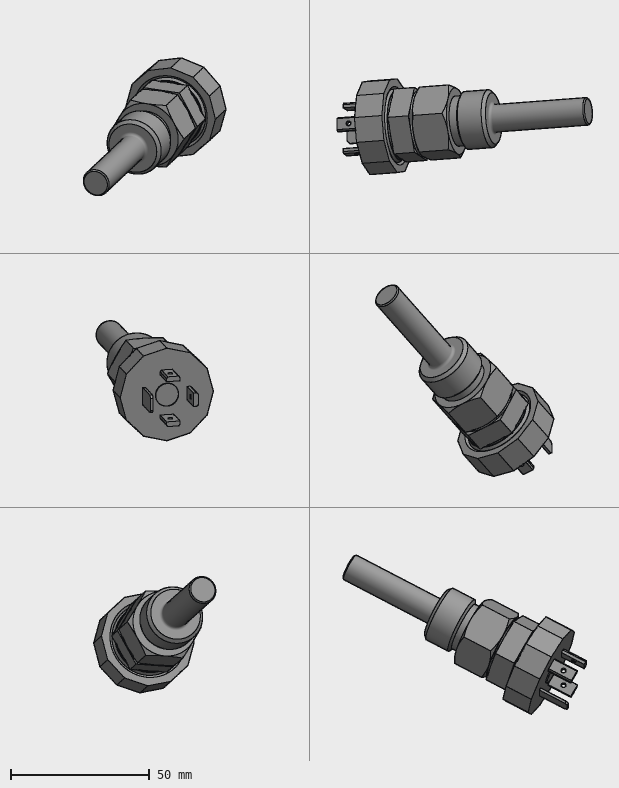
import cadquery as cq
import math

total_length = 94.5

collar_front = 36.0
collar_back = 47.1
nut_front = 49.9
nut_back = 63.0
body_hex_front = 63.8
body_hex_back = 71.6
flange_front = 72.7
flange_back = 83.1

probe_radius = 5.0
tip_chamfer = 0.5
probe_fillet = 1.0

collar_radius = 10.5
collar_chamfer = 1.2
undercut_radius = 9.1
thread_end_angle = 30.0

hex_flats = 24.0
hex_corners = hex_flats / math.cos(math.radians(30))
nut_chamfer_angle = 30.0
nut_neck_radius = 11.3

flange_sides = 12
flange_corners = 34.7
groove_outer_radius = 14.2
groove_bottom_radius = 13.2
groove_depth = 0.8
seal_radius = 12.5
seal_length = 0.4
neck_radius = 12.2

terminal_offset = 8.4
blade_thickness = 1.8
blade_width = 5.0
blade_tip = 92.4
blade_bevel_depth = 0.7
blade_bevel_width = 0.5
blade_hole_diameter = 1.7
blade_hole_position = 88.1
earth_thickness = 0.9
earth_offset = 8.5
earth_width = 6.5
earth_corner = 0.9
disc_radius = 4.25
disc_height = 0.5
embed = 0.9


def turned(points):
    """Revolve a (radius, station) outline, closed along the axis, about Y."""
    return cq.Workplane("XY").polyline(points).close().revolve(360, (0, 0, 0), (0, 1, 0))


def prism(sides, across_corners, start, end):
    """Regular prism along Y with corners on the X axis."""
    plane = cq.Plane(origin=(0, start, 0), xDir=(1, 0, 0), normal=(0, 1, 0))
    return cq.Workplane(plane).polygon(sides, across_corners).extrude(end - start)


def make_probe_and_collar():
    """Probe rod, chamfered collar and undercut up to the nut, turned in one outline."""
    fillet_start = collar_front - probe_fillet
    fillet_mid_offset = probe_fillet * (1 - math.sqrt(0.5))
    thread_end = (collar_radius - undercut_radius) * math.tan(math.radians(thread_end_angle))
    return (
        cq.Workplane("XY")
        .lineTo(probe_radius - tip_chamfer, 0)
        .lineTo(probe_radius, tip_chamfer)
        .lineTo(probe_radius, fillet_start)
        .threePointArc(
            (probe_radius + fillet_mid_offset, collar_front - fillet_mid_offset),
            (probe_radius + probe_fillet, collar_front),
        )
        .lineTo(collar_radius - collar_chamfer, collar_front)
        .lineTo(collar_radius, collar_front + collar_chamfer)
        .lineTo(collar_radius, collar_back - thread_end)
        .lineTo(undercut_radius, collar_back)
        .lineTo(undercut_radius, nut_front)
        .lineTo(0, nut_front)
        .close()
        .revolve(360, (0, 0, 0), (0, 1, 0))
    )


def make_nut():
    """Hexagon nut with both ends coned down to the flats."""
    flat_radius = hex_flats / 2
    corner_radius = hex_corners / 2
    drop = (corner_radius - flat_radius) * math.tan(math.radians(nut_chamfer_angle))
    envelope = turned([
        (0, nut_front),
        (flat_radius, nut_front),
        (corner_radius, nut_front + drop),
        (corner_radius, nut_back - drop),
        (flat_radius, nut_back),
        (0, nut_back),
    ])
    return prism(6, hex_corners, nut_front, nut_back).intersect(envelope)


def make_body_hex():
    """Plain hexagon with a tapered neck down to the nut."""
    neck = turned([
        (0, nut_back),
        (nut_neck_radius, nut_back),
        (hex_flats / 2, body_hex_front),
        (0, body_hex_front),
    ])
    return prism(6, hex_corners, body_hex_front, body_hex_back).union(neck)


def make_flange():
    """Twelve-sided flange, its ring groove and the stepped neck that meets the body hexagon."""
    seal_front = flange_front - seal_length
    groove_bottom = flange_front + groove_depth
    recess = turned([
        (0, flange_front),
        (groove_outer_radius, flange_front),
        (groove_bottom_radius, groove_bottom),
        (0, groove_bottom),
    ])
    neck = turned([
        (0, body_hex_back),
        (neck_radius, body_hex_back),
        (neck_radius, seal_front),
        (seal_radius, seal_front),
        (groove_bottom_radius, groove_bottom),
        (0, groove_bottom),
    ])
    return prism(flange_sides, flange_corners, flange_front, flange_back).cut(recess).union(neck)


def make_blade(angle):
    """Contact blade with beveled outer edges and a cross hole, turned about Y from +X."""
    inner = terminal_offset - blade_thickness / 2
    outer = terminal_offset + blade_thickness / 2
    half_width = blade_width / 2
    shoulder = outer - blade_bevel_depth
    face_half_width = half_width - blade_bevel_width
    start = flange_back - embed
    plane = cq.Plane(origin=(0, start, 0), xDir=(1, 0, 0), normal=(0, 1, 0))
    blade = (
        cq.Workplane(plane)
        .polyline([
            (inner, -half_width),
            (shoulder, -half_width),
            (outer, -face_half_width),
            (outer, face_half_width),
            (shoulder, half_width),
            (inner, half_width),
        ])
        .close()
        .extrude(blade_tip - start)
    )
    hole = (
        cq.Workplane("YZ")
        .center(blade_hole_position, 0)
        .circle(blade_hole_diameter / 2)
        .extrude(outer)
    )
    return blade.cut(hole).rotate((0, 0, 0), (0, 1, 0), angle)


def make_earth_terminal():
    """Wider, thinner and longer blade on the +X side with clipped tip corners."""
    start = flange_back - embed
    return (
        cq.Workplane("XY")
        .box(earth_thickness, total_length - start, earth_width, centered=(True, False, True))
        .edges("|X and >Y")
        .chamfer(earth_corner)
        .translate((earth_offset, start, 0))
    )


def make_disc():
    """Low round pad in the middle of the terminal face."""
    return turned([
        (0, flange_back - embed),
        (disc_radius, flange_back - embed),
        (disc_radius, flange_back + disc_height),
        (0, flange_back + disc_height),
    ])


result = make_probe_and_collar()
for section in (make_nut(), make_body_hex(), make_flange(), make_earth_terminal(), make_disc()):
    result = result.union(section)
for blade_angle in (90, 180, 270):
    result = result.union(make_blade(blade_angle))